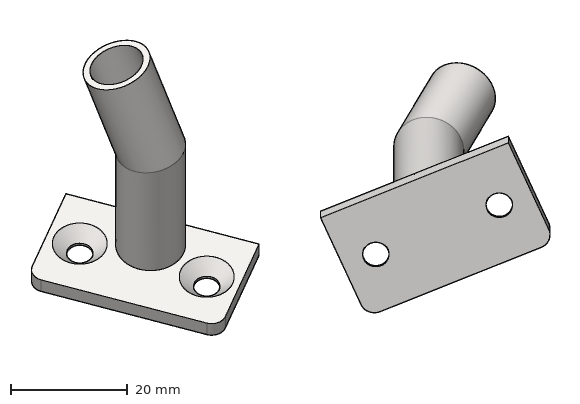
import cadquery as cq
import math

PLATE_LENGTH = 35.0
PLATE_WIDTH = 20.0
PLATE_THICKNESS = 3.0
CORNER_RADIUS = 2.5

HOLE_SPACING = 23.0
HOLE_DIAMETER = 4.5
SINK_DIAMETER = 9.4
SINK_ANGLE = 90.0

POST_DIAMETER = 12.0
POST_BACK_GAP = 0.18
LOWER_LENGTH = 25.0
UPPER_LENGTH = 20.0
BEND_ANGLE = 18.0
BORE_DIAMETER = 9.5
BORE_DEPTH = 15.0

POST_Y = PLATE_WIDTH / 2 - POST_BACK_GAP - POST_DIAMETER / 2
BEND_Z = PLATE_THICKNESS + LOWER_LENGTH
TILT = math.radians(BEND_ANGLE)
UPPER_DIRECTION = cq.Vector(-math.sin(TILT), 0, math.cos(TILT))
BEND_POINT = cq.Vector(0, POST_Y, BEND_Z)
TIP_POINT = BEND_POINT + UPPER_DIRECTION * UPPER_LENGTH


def make_plate():
    """Plate resting on Z = 0 with its two front corners rounded and two countersunk holes."""
    plate = cq.Workplane("XY").box(
        PLATE_LENGTH, PLATE_WIDTH, PLATE_THICKNESS, centered=(True, True, False)
    )
    plate = plate.faces("<Y").edges("|Z").fillet(CORNER_RADIUS)
    return (
        plate.faces(">Z")
        .workplane(origin=(0, 0, PLATE_THICKNESS))
        .pushPoints([(-HOLE_SPACING / 2, 0), (HOLE_SPACING / 2, 0)])
        .cskHole(HOLE_DIAMETER, SINK_DIAMETER, SINK_ANGLE)
    )


def make_post():
    """Solid round post with a mitred bend, swept along the two straight leg axes."""
    path = cq.Workplane("XZ", origin=(0, POST_Y, 0)).polyline(
        [(0, PLATE_THICKNESS), (0, BEND_Z), (TIP_POINT.x, TIP_POINT.z)]
    )
    return (
        cq.Workplane("XY", origin=(0, POST_Y, PLATE_THICKNESS))
        .circle(POST_DIAMETER / 2)
        .sweep(path, transition="right")
    )


def make_bore():
    """Flat-bottomed blind bore running down the tilted leg from its tip."""
    return cq.Workplane(
        cq.Solid.makeCylinder(BORE_DIAMETER / 2, BORE_DEPTH, TIP_POINT, UPPER_DIRECTION * -1)
    )


result = make_plate().union(make_post()).cut(make_bore())